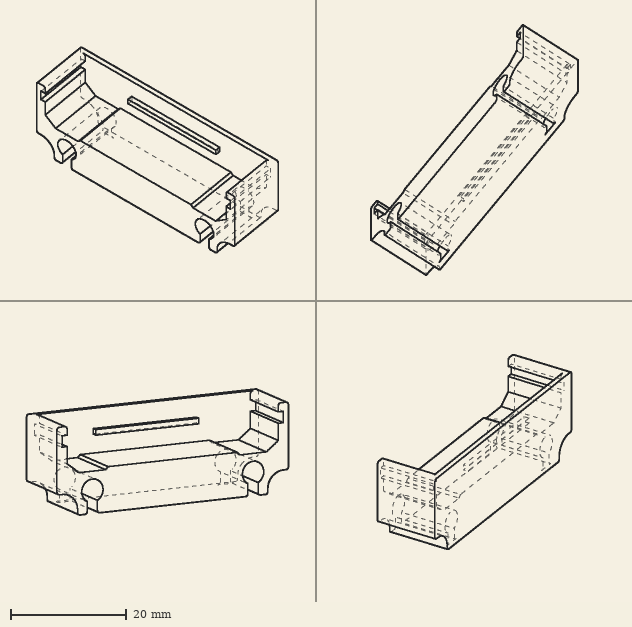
import cadquery as cq
import math

length = 45
depth = 11.75
height = 16.0
back_wall = 1.0
edge_radius = 0.5

cove_radius = 3.0
cove_edge = 1.0
cove_size = cove_edge + cove_radius

end_wall = 2.0
floor_z = 8.05
channel_z = 7.55
wall_slope_top_z = 9.35
slope_run = 2.35
floor_half = length / 2 - 9.95
step_run = 0.5

groove_depth = 1.0
groove_top_z = height - 1.58
groove_height = 2.02

keyhole_x = length / 2 - 6.9
keyhole_z = 4.1
keyhole_radius = 2.05
keyhole_neck = 2.0

rib_length = 20.0
rib_height = 1.0
rib_reach = 1.0
rib_top_z = height - 3.6

inner_depth = depth - back_wall


def prism(sketch, prism_depth):
    """Extrude an XZ outline from the front face toward +Y."""
    return sketch.extrude(-prism_depth)


def make_body():
    end_x = length / 2
    foot_x = end_x - cove_size
    arc_mid = cove_radius * math.sqrt(0.5)
    cove_center_x = end_x - cove_edge
    outline = (
        cq.Workplane("XZ")
        .moveTo(-end_x, height)
        .lineTo(end_x, height)
        .lineTo(end_x, cove_size)
        .lineTo(cove_center_x, cove_size)
        .threePointArc((cove_center_x - arc_mid, cove_edge + arc_mid), (foot_x, cove_edge))
        .lineTo(foot_x, 0)
        .lineTo(-foot_x, 0)
        .lineTo(-foot_x, cove_edge)
        .threePointArc((arc_mid - cove_center_x, cove_edge + arc_mid), (-cove_center_x, cove_size))
        .lineTo(-end_x, cove_size)
        .close()
    )
    body = prism(outline, depth)
    outer_corners = [(x, z) for x in (-end_x, end_x) for z in (cove_size, height)]
    outer_corners += [(-foot_x, 0), (foot_x, 0)]
    return round_edges(body, outer_corners, depth)


def round_edges(body, corners, edge_length):
    """Round the Y-parallel edges that start on the front face at the given XZ corners."""
    for x, z in corners:
        selector = cq.selectors.NearestToPointSelector((x, edge_length / 2, z))
        body = body.edges("|Y").edges(selector).fillet(edge_radius)
    return body


def cut_cavity(body):
    wall_x = length / 2 - end_wall
    groove_x = wall_x + groove_depth
    groove_bottom_z = groove_top_z - groove_height
    right_side = [
        (wall_x, height),
        (wall_x, groove_top_z),
        (groove_x, groove_top_z),
        (groove_x, groove_bottom_z),
        (wall_x, groove_bottom_z),
        (wall_x, wall_slope_top_z),
        (wall_x - slope_run, channel_z),
        (floor_half + step_run, channel_z),
        (floor_half, floor_z),
    ]
    left_side = [(-x, z) for x, z in reversed(right_side)]
    outline = cq.Workplane("XZ").polyline(right_side + left_side).close()
    body = body.cut(prism(outline, inner_depth))
    return round_edges(body, [(-wall_x, height), (wall_x, height)], inner_depth)


def cut_keyholes(body):
    neck_corners = []
    for x in (-keyhole_x, keyhole_x):
        bore = prism(cq.Workplane("XZ").center(x, keyhole_z).circle(keyhole_radius), inner_depth)
        neck_outline = cq.Workplane("XZ").center(x, keyhole_z / 2).rect(keyhole_neck, keyhole_z)
        body = body.cut(bore).cut(prism(neck_outline, inner_depth))
        neck_corners += [(x - keyhole_neck / 2, 0), (x + keyhole_neck / 2, 0)]
    return round_edges(body, neck_corners, inner_depth)


def make_rib():
    return cq.Workplane("XY").box(
        rib_length, rib_reach + back_wall, rib_height, centered=(True, False, False)
    ).translate((0, inner_depth - rib_reach, rib_top_z - rib_height))


result = cut_keyholes(cut_cavity(make_body())).union(make_rib())